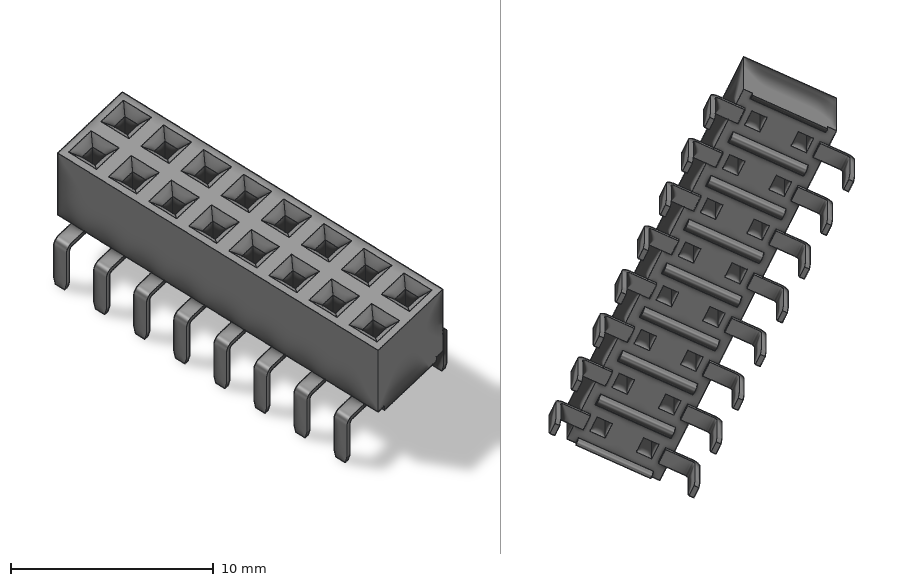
import cadquery as cq
import math

columns = 8
rows = 2
pitch = 20.32 / columns
body_length = columns * pitch
body_width = rows * pitch
body_height = 4.71

hole_side = 0.83
lead_in_side = 1.77
lead_in_angle = 45
lead_in_depth = (lead_in_side - hole_side) / 2 / math.tan(math.radians(lead_in_angle))

rib_radius = 0.3
rib_length = 4.1

lead_span = 7.86
lead_drop = 3.3
lead_width = 0.81
lead_thickness = 0.26
bend_radius = 0.45
tip_length = 0.49
tip_width = 0.59


def make_body():
    """Rectangular housing with its underside on Z = 0."""
    return cq.Workplane("XY").box(body_length, body_width, body_height, centered=(True, True, False))


def make_ribs():
    """Half-round ribs between the columns, cut to quarter-rounds at the two body ends."""
    rib_centres = [(i * pitch - body_length / 2, 0) for i in range(columns + 1)]
    rods = (
        cq.Workplane("XZ")
        .pushPoints(rib_centres)
        .circle(rib_radius)
        .extrude(rib_length / 2, both=True)
    )
    below_body = cq.Workplane("XY").box(body_length, rib_length, 2 * rib_radius)
    return rods.intersect(below_body)


def make_openings():
    """Square through holes and their tapered mouths for all contacts."""
    holes = (
        cq.Workplane("XY")
        .rarray(pitch, pitch, columns, rows)
        .rect(hole_side, hole_side)
        .extrude(body_height)
    )
    mouths = (
        cq.Workplane("XY", origin=(0, 0, body_height))
        .rarray(pitch, pitch, columns, rows)
        .rect(lead_in_side, lead_in_side)
        .extrude(-lead_in_depth, taper=lead_in_angle)
    )
    return holes.union(mouths)


def make_lead():
    """One lead on the +Y side, centred on X = 0, bent down from the body underside."""
    inner_end = rib_length / 2
    outer_face = lead_span / 2
    inner_face = outer_face - lead_thickness
    inner_radius = bend_radius - lead_thickness
    bend_start = outer_face - bend_radius

    strip = (
        cq.Workplane("YZ")
        .moveTo(inner_end, 0)
        .lineTo(bend_start, 0)
        .radiusArc((outer_face, -bend_radius), bend_radius)
        .lineTo(outer_face, -lead_drop)
        .lineTo(inner_face, -lead_drop)
        .lineTo(inner_face, -bend_radius)
        .radiusArc((bend_start, -lead_thickness), -inner_radius)
        .lineTo(inner_end, -lead_thickness)
        .close()
        .extrude(lead_width / 2, both=True)
    )
    outline = (
        cq.Workplane("XZ")
        .polyline([
            (-lead_width / 2, 0),
            (lead_width / 2, 0),
            (lead_width / 2, tip_length - lead_drop),
            (tip_width / 2, -lead_drop),
            (-tip_width / 2, -lead_drop),
            (-lead_width / 2, tip_length - lead_drop),
        ])
        .close()
        .extrude(-outer_face)
    )
    return strip.intersect(outline)


result = make_body().union(make_ribs()).cut(make_openings())

lead = make_lead()
opposite_lead = lead.mirror("XZ")
for column in range(columns):
    lead_x = (column + 0.5) * pitch - body_length / 2
    result = result.union(lead.translate((lead_x, 0, 0)))
    result = result.union(opposite_lead.translate((lead_x, 0, 0)))